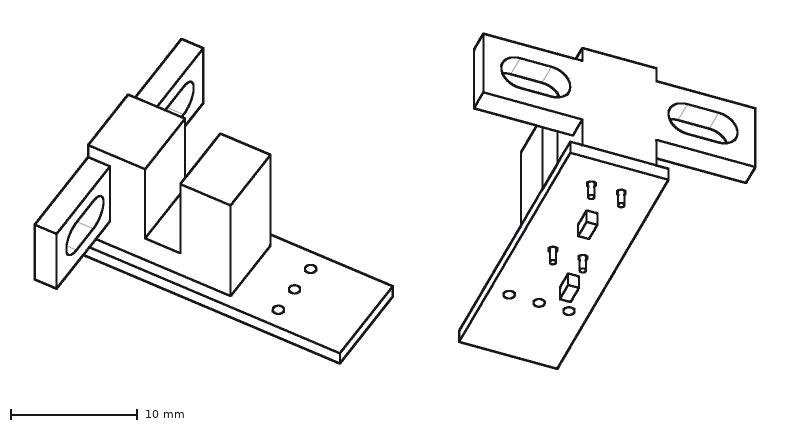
import cadquery as cq

board_length = 23.55
board_width = 8.35
board_thickness = 1.2
header_hole_diameter = 0.9
header_hole_x = 17.0
header_hole_pitch = 2.55
header_hole_count = 3

component_length = 1.77
component_width = 0.92
component_height = 1.25
component_centers = [(6.57, 0.05), (13.87, -1.32)]

housing_length = 13.0
housing_width = 6.3
housing_height = 10.5
gap_start = 5.2
gap_width = 3.2
gap_floor = 2.5

ear_span = 23.15
ear_thickness = 2.0
ear_height = 6.35
ear_bottom = 2.75
ear_slot_length = 5.85
ear_slot_height = 3.2
ear_slot_offset = 7.1

lead_diameter = 0.5
lead_hole_diameter = 0.7
lead_projection = 1.35
lead_first_x = 2.78
lead_spacing_x = 8.12
lead_spacing_y = 2.55

lead_length = board_thickness + lead_projection
lead_points = [
    (x, side * lead_spacing_y / 2)
    for x in (lead_first_x, lead_first_x + lead_spacing_x)
    for side in (-1, 1)
]


def box_on_center_line(x_start, length, width, z_bottom, height):
    """Box symmetric about Y = 0, starting at x_start and z_bottom."""
    box = cq.Workplane("XY").box(length, width, height, centered=(False, True, False))
    return box.translate((x_start, 0, z_bottom))


def make_sensor():
    """Forked housing with slotted mounting ears and four leads."""
    housing = box_on_center_line(0, housing_length, housing_width, 0, housing_height)
    gap = box_on_center_line(
        gap_start, gap_width, housing_width, gap_floor, housing_height - gap_floor
    )
    ears = box_on_center_line(0, ear_thickness, ear_span, ear_bottom, ear_height)

    slot_z = ear_bottom + ear_height / 2
    ear_slots = (
        cq.Workplane("YZ")
        .pushPoints([(-ear_slot_offset, slot_z), (ear_slot_offset, slot_z)])
        .slot2D(ear_slot_length, ear_slot_height)
        .extrude(ear_thickness)
    )
    leads = (
        cq.Workplane("XY")
        .pushPoints(lead_points)
        .circle(lead_diameter / 2)
        .extrude(-lead_length)
    )
    return housing.cut(gap).union(ears).cut(ear_slots).union(leads)


def make_board():
    """Board with header holes, lead clearance holes and its low components."""
    board = box_on_center_line(0, board_length, board_width, -board_thickness, board_thickness)
    header_holes = (
        cq.Workplane("XY")
        .center(header_hole_x, 0)
        .rarray(0.24, header_hole_pitch, 1, header_hole_count)
        .circle(header_hole_diameter / 2)
        .extrude(-board_thickness)
    )
    lead_holes = (
        cq.Workplane("XY")
        .pushPoints(lead_points)
        .circle(lead_hole_diameter / 2)
        .extrude(-board_thickness)
    )
    components = (
        cq.Workplane("XY", origin=(0, 0, -board_thickness))
        .pushPoints(component_centers)
        .rect(component_length, component_width)
        .extrude(-component_height)
    )
    return board.cut(header_holes).cut(lead_holes).union(components)


sensor = make_sensor()
board = make_board()

result = cq.Compound.makeCompound([sensor.solids().val(), board.solids().val()])